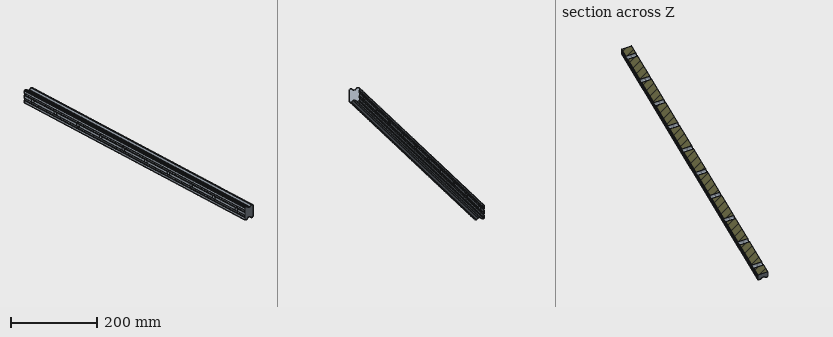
import cadquery as cq

LENGTH = 780.0
HEIGHT = 26.0
WIDTH = 34.0

SIDE = WIDTH / 2
FOOT = -HEIGHT / 2
HEAD = HEIGHT / 2

NOTCH_DEPTH = 4.2
FOOT_FLANK_START = 6.5
FLOOR_START = 10.8
FLOOR_END = 15.6
HEAD_FLANK_END = 20.2
FOOT_CHAMFER = 1.5

FLANK_TRACK_START = 16.7
FLANK_TRACK_END = 19.5
FLANK_TRACK_SAGITTA = 0.1
CORNER_TRACK_SIZE = 3.0
CORNER_TRACK_SAGITTA = 0.5

GROOVE_DEPTH = 1.0
GROOVE_INNER = 3.4
GROOVE_OUTER = 9.5

HOLE_DIAMETER = 9.0
HOLE_PITCH = 80.0
HOLE_COUNT = 10


def flank_point(height):
    """Section point (Y, Z) on the sloped flank under the head, at a height above the foot."""
    rise = (height - FLOOR_END) / (HEAD_FLANK_END - FLOOR_END)
    return (FOOT + height, SIDE - NOTCH_DEPTH * (1 - rise))


def rail_half():
    """The +Z half of the rail: its section drawn in YZ and extruded along X."""
    notch_floor = SIDE - NOTCH_DEPTH
    groove_floor = FOOT + GROOVE_DEPTH
    return (
        cq.Workplane("YZ")
        .moveTo(FOOT, 0)
        .lineTo(FOOT, GROOVE_INNER)
        .lineTo(groove_floor, GROOVE_INNER + GROOVE_DEPTH)
        .lineTo(groove_floor, GROOVE_OUTER - GROOVE_DEPTH)
        .lineTo(FOOT, GROOVE_OUTER)
        .lineTo(FOOT, SIDE - FOOT_CHAMFER)
        .lineTo(FOOT + FOOT_CHAMFER, SIDE)
        .lineTo(FOOT + FOOT_FLANK_START, SIDE)
        .lineTo(FOOT + FLOOR_START, notch_floor)
        .lineTo(FOOT + FLOOR_END, notch_floor)
        .lineTo(*flank_point(FLANK_TRACK_START))
        .sagittaArc(flank_point(FLANK_TRACK_END), -FLANK_TRACK_SAGITTA)
        .lineTo(FOOT + HEAD_FLANK_END, SIDE)
        .lineTo(HEAD - CORNER_TRACK_SIZE, SIDE)
        .sagittaArc((HEAD, SIDE - CORNER_TRACK_SIZE), -CORNER_TRACK_SAGITTA)
        .lineTo(HEAD, 0)
        .close()
        .extrude(LENGTH / 2, both=True)
    )


def rail_body():
    half = rail_half()
    return half.union(half.mirror("XY")).clean()


def mounting_holes():
    """Cylinders along Y, evenly pitched and centred on the rail length."""
    return (
        cq.Workplane("XZ")
        .rarray(HOLE_PITCH, 1, HOLE_COUNT, 1)
        .circle(HOLE_DIAMETER / 2)
        .extrude(HEIGHT, both=True)
    )


result = rail_body().cut(mounting_holes())